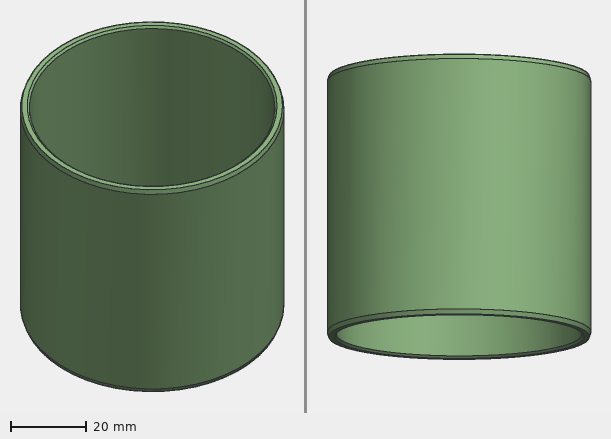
import cadquery as cq

outer_diameter = 70.0
length = 70.0
wall = 2.45
inner_diameter = outer_diameter - 2 * wall

outer_chamfer_length = 1.25
outer_chamfer_depth = 0.4
inner_chamfer = 0.595

outer_radius = outer_diameter / 2
inner_radius = inner_diameter / 2
half_length = length / 2

upper_profile = [
    (inner_radius, half_length - inner_chamfer),
    (inner_radius + inner_chamfer, half_length),
    (outer_radius - outer_chamfer_depth, half_length),
    (outer_radius, half_length - outer_chamfer_length),
]
lower_profile = [(radius, -height) for radius, height in reversed(upper_profile)]

result = (
    cq.Workplane("XZ")
    .polyline(upper_profile + lower_profile)
    .close()
    .revolve(360, (0, 0, 0), (0, 1, 0))
)